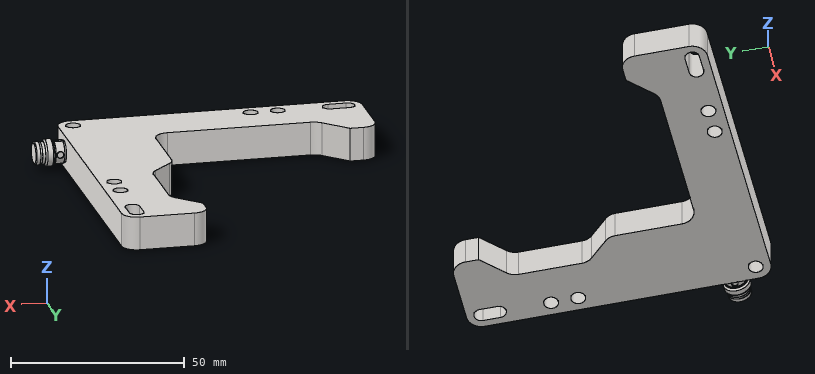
import cadquery as cq

total_length = 99.0
side = 90.0
thickness = 10.0
hook_width = 25.0
arm_width = 17.0
hook_tip = 8.4
shoulder_height = 43.1
corner_radius = 4.5

hole_diameter = 4.3
edge_distance = 4.5
slot_length = 9.5
slot_center = 7.0
first_hole = 25.0
hole_pitch = 8.0

connector_height = 12.1
root_diameter = 6.5
barrel_diameter = 6.9
collar_diameter = 8.0
lip_diameter = 6.7
mouth_diameter = 6.3
root_end = 0.5
barrel_end = 3.1
collar_start = 3.5
collar_end = 6.1
collar_bevel = 0.5
neck_end = 7.0
lip_length = 0.6
mouth_bevel = 0.3
dimple_diameter = 2.0
dimple_position = 1.8
dimple_depth = 0.5


def make_plate():
    slope = hook_width - arm_width
    inner_x = side - hook_width
    relief_x = side - arm_width
    outline = [
        (0, 0),
        (side, 0),
        (side, side),
        (inner_x, side),
        (inner_x, side - hook_tip),
        (relief_x, side - hook_tip - slope),
        (relief_x, shoulder_height + slope),
        (inner_x, shoulder_height),
        (inner_x, arm_width),
        (hook_tip + slope, arm_width),
        (hook_tip, hook_width),
        (0, hook_width),
    ]
    plate = cq.Workplane("XY").polyline(outline).close().extrude(thickness)

    sharp_corners = [(inner_x, side - hook_tip), (hook_tip, hook_width)]
    rounded_corners = [point for point in outline if point not in sharp_corners]
    tolerance = 0.1
    for x, y in rounded_corners:
        corner = cq.selectors.BoxSelector(
            (x - tolerance, y - tolerance, 0),
            (x + tolerance, y + tolerance, thickness),
        )
        plate = plate.edges("|Z").edges(corner).fillet(corner_radius)
    return plate


def cut_mounting_holes(plate):
    hole_x = side - edge_distance
    centers = [(hole_x, edge_distance)]
    for distance in (first_hole, first_hole + hole_pitch):
        centers.append((distance, edge_distance))
        centers.append((hole_x, side - distance))
    holes = cq.Workplane("XY").pushPoints(centers).circle(hole_diameter / 2).extrude(thickness)
    level_slot = (
        cq.Workplane("XY")
        .center(slot_center, edge_distance)
        .slot2D(slot_length, hole_diameter)
        .extrude(thickness)
    )
    upright_slot = (
        cq.Workplane("XY")
        .center(hole_x, side - slot_center)
        .slot2D(slot_length, hole_diameter, 90)
        .extrude(thickness)
    )
    return plate.cut(holes).cut(level_slot).cut(upright_slot)


def make_connector():
    length = total_length - side
    root = root_diameter / 2
    barrel = barrel_diameter / 2
    collar = collar_diameter / 2
    lip = lip_diameter / 2
    profile = [
        (0, 0),
        (0, root),
        (root_end, root),
        (root_end, barrel),
        (barrel_end, barrel),
        (barrel_end, root),
        (collar_start, root),
        (collar_start, barrel),
        (collar_start + collar_bevel, collar),
        (collar_end - collar_bevel, collar),
        (collar_end, barrel),
        (collar_end, root),
        (neck_end, root),
        (neck_end, lip),
        (neck_end + lip_length, lip),
        (neck_end + lip_length, barrel),
        (length - mouth_bevel, barrel),
        (length, mouth_diameter / 2),
        (length, 0),
    ]
    connector = cq.Workplane("XY").polyline(profile).close().revolve(360, (0, 0), (1, 0))

    dimple = (
        cq.Workplane("XY", origin=(dimple_position, 0, barrel - dimple_depth))
        .circle(dimple_diameter / 2)
        .extrude(barrel)
    )
    for angle in range(0, 360, 90):
        connector = connector.cut(dimple.rotate((0, 0, 0), (1, 0, 0), angle))
    return connector.translate((side, connector_height, thickness / 2))


result = cut_mounting_holes(make_plate()).union(make_connector())